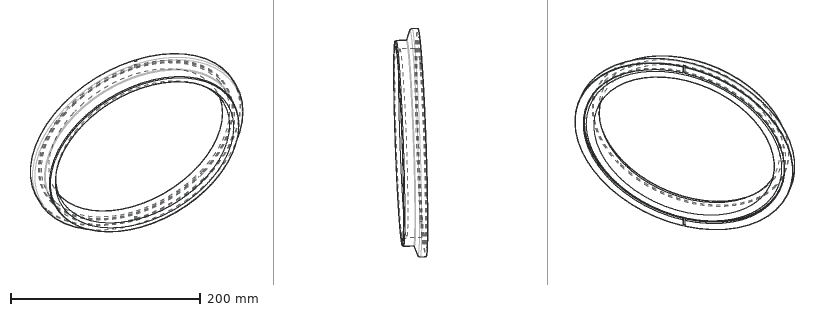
import cadquery as cq
import math

flange_radius = 121.0
neck_radius = 218.0 / 2
bore_radius = 200.0 / 2
length = 25.0

flange_edge_chamfer = 0.5
rim_end = 6.5
rim_fillet = 2.5
back_slope = math.radians(20)
root_fillet = 1.0

neck_chamfer_length = 1.2
neck_chamfer_height = 0.7
bore_mouth_radius = 205.2 / 2
bore_mouth_depth = 4.8

land_setback = 0.7
land_radius = 108.5
groove_depth = 2.2
groove_radius = 111.5
groove_floor_width = 0.7

slot_width = 2.2
cutter_overrun = 2.5


def rim_arc_point(angle):
    """Point on the rim fillet, by angle turned from the radial direction."""
    x = rim_end + rim_fillet * math.sin(angle)
    radius = flange_radius - rim_fillet * (1 - math.cos(angle))
    return x, radius


def root_arc_point(center, angle):
    """Point on the root fillet, by angle turned from the inward radial direction."""
    x = center[0] - root_fillet * math.sin(angle)
    radius = center[1] - root_fillet * math.cos(angle)
    return x, radius


def make_ring():
    turn = math.pi / 2 - back_slope
    slope_start = rim_arc_point(turn)

    root_end_radius = neck_radius + root_fillet * (1 - math.cos(turn))
    slope_end_x = slope_start[0] + (slope_start[1] - root_end_radius) * math.tan(back_slope)
    root_center = (slope_end_x + root_fillet * math.sin(turn), neck_radius + root_fillet)

    profile = (
        cq.Workplane("XY")
        .moveTo(land_setback, bore_radius)
        .lineTo(land_setback, land_radius)
        .lineTo(groove_depth, groove_radius - groove_floor_width)
        .lineTo(groove_depth, groove_radius)
        .lineTo(0, groove_radius)
        .lineTo(0, flange_radius - flange_edge_chamfer)
        .lineTo(flange_edge_chamfer, flange_radius)
        .lineTo(rim_end, flange_radius)
        .threePointArc(rim_arc_point(turn / 2), slope_start)
        .lineTo(slope_end_x, root_end_radius)
        .threePointArc(root_arc_point(root_center, turn / 2), (root_center[0], neck_radius))
        .lineTo(length - neck_chamfer_length, neck_radius)
        .lineTo(length, neck_radius - neck_chamfer_height)
        .lineTo(length, bore_mouth_radius)
        .lineTo(length - bore_mouth_depth, bore_radius)
        .close()
    )
    return profile.revolve(360, (0, 0, 0), (1, 0, 0))


def cut_vent_slots(ring):
    inner_end = groove_radius - groove_floor_width / 2
    cutter_length = flange_radius - inner_end + cutter_overrun
    cutter_middle = inner_end + cutter_length / 2
    for side in (1, -1):
        cutter = (
            cq.Workplane("XY")
            .box(groove_depth, slot_width, cutter_length)
            .translate((groove_depth / 2, 0, side * cutter_middle))
        )
        ring = ring.cut(cutter)
    return ring


result = cut_vent_slots(make_ring())